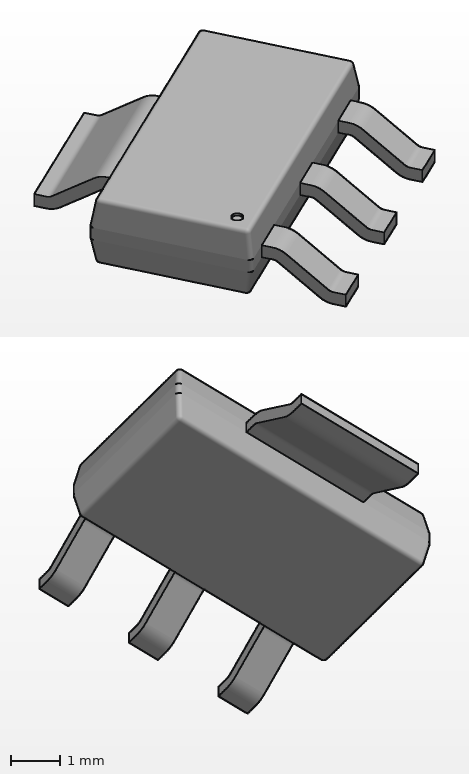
import cadquery as cq
import math

span = 7.11

housing_x = 3.5
housing_y = 6.5
housing_height = 1.6
standoff = 0.15
draft_inset = 0.1
edge_radius = 0.1

mark_diameter = 0.25
mark_x = 1.26
mark_y = -2.77
mark_depth = 0.06

sheet = 0.3
lead_drop = 0.795
inner_bend = 0.2
outer_bend = inner_bend + sheet
bend_angle = math.radians(36.3)
foot_length = 0.26
pin_width = 0.75
pin_pitch = 2.3
tab_width = 3.0

bend_radii = inner_bend + outer_bend
slope_drop = lead_drop - bend_radii * (1 - math.cos(bend_angle))
bend_spacing = bend_radii * math.sin(bend_angle) + slope_drop / math.tan(bend_angle)

waist_bottom = lead_drop
waist_top = waist_bottom + sheet
housing_top = standoff + housing_height


def drafted_half(waist_z, end_z):
    """Half of the housing, tapering from the waist rectangle to the smaller end rectangle."""
    return (
        cq.Workplane("XY", origin=(0, 0, waist_z))
        .rect(housing_x, housing_y)
        .workplane(offset=end_z - waist_z)
        .rect(housing_x - 2 * draft_inset, housing_y - 2 * draft_inset)
        .loft(ruled=True)
    )


def make_housing():
    """Six-sided block with a straight waist, drafted halves, rounded edges and a dimple."""
    waist = cq.Workplane("XY", origin=(0, 0, waist_bottom)).box(
        housing_x, housing_y, sheet, centered=(True, True, False)
    )
    block = waist.union(drafted_half(waist_top, housing_top))
    block = block.union(drafted_half(waist_bottom, standoff))
    corner_edges = block.edges("not(#Z)")
    end_edges = block.edges("<Z or >Z")
    block = block.newObject(corner_edges.vals() + end_edges.vals()).fillet(edge_radius)
    dimple = (
        cq.Workplane("XY", origin=(mark_x, mark_y, housing_top - mark_depth))
        .circle(mark_diameter / 2)
        .extrude(mark_depth)
    )
    return block.cut(dimple)


def make_lead(width, centre_y):
    """Lead on the +X side: shoulder butting the housing wall, slope, and flat foot."""
    root_x = housing_x / 2
    tip_x = span / 2
    upper_x = tip_x - foot_length - bend_spacing
    upper_z = waist_bottom - inner_bend
    lower_x = tip_x - foot_length
    lower_z = sheet + inner_bend

    def upper_bend(radius, angle):
        return (upper_x + radius * math.sin(angle), upper_z + radius * math.cos(angle))

    def lower_bend(radius, angle):
        return (lower_x - radius * math.sin(angle), lower_z - radius * math.cos(angle))

    half_angle = bend_angle / 2
    return (
        cq.Workplane("XZ", origin=(0, centre_y + width / 2, 0))
        .moveTo(root_x, waist_top)
        .lineTo(*upper_bend(outer_bend, 0))
        .threePointArc(upper_bend(outer_bend, half_angle), upper_bend(outer_bend, bend_angle))
        .lineTo(*lower_bend(inner_bend, bend_angle))
        .threePointArc(lower_bend(inner_bend, half_angle), lower_bend(inner_bend, 0))
        .lineTo(tip_x, sheet)
        .lineTo(tip_x, 0)
        .lineTo(*lower_bend(outer_bend, 0))
        .threePointArc(lower_bend(outer_bend, half_angle), lower_bend(outer_bend, bend_angle))
        .lineTo(*upper_bend(inner_bend, bend_angle))
        .threePointArc(upper_bend(inner_bend, half_angle), upper_bend(inner_bend, 0))
        .lineTo(root_x, waist_bottom)
        .close()
        .extrude(width)
    )


def make_tab():
    """Wide heat-sink lead on the -X side, bent like the pins."""
    return make_lead(tab_width, 0).mirror("YZ")


housing = make_housing()
tab = make_tab()
pins = [make_lead(pin_width, row * pin_pitch) for row in (-1, 0, 1)]

result = cq.Compound.makeCompound([housing.val(), tab.val(), *[pin.val() for pin in pins]])